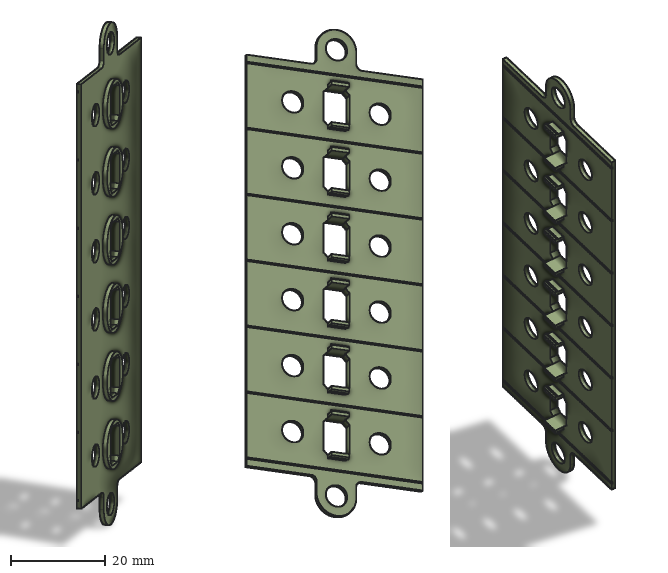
import cadquery as cq
total_height = 110.6
plate_width = 40.3
plate_thickness = 1.0
station_count = 6
body_height = 93.6
end_margin = 1.8
station_pitch = (body_height - 2 * end_margin) / station_count

feature_y = -0.4

tab_radius = 4.5
tab_hole_diameter = 4.9
tab_root_fillet = 1.3
tab_hole_z = total_height / 2 - tab_radius

groove_width = 0.3
groove_depth = 0.3

hole_spacing = 20.0
hole_diameter = 4.9
window_width = 6.0
window_height = 8.5
window_corner_chamfer = 1.0
boss_diameter = 10.6
boss_height = 1.0
opening_depth = plate_thickness + boss_height

clip_width = window_width - 2 * window_corner_chamfer
clip_length = 2.2
clip_thickness = 0.8
barb_height = 0.3
barb_length = 0.7

station_heights = [(i - (station_count - 1) / 2) * station_pitch for i in range(station_count)]
groove_heights = [(i - station_count / 2) * station_pitch for i in range(station_count + 1)]


def make_plate():
    """Rectangular plate with a round-ended, drilled tab at the top and bottom."""
    body = cq.Workplane("YZ").rect(plate_width, body_height).extrude(plate_thickness)
    tabs = (
        cq.Workplane("YZ")
        .center(feature_y, 0)
        .slot2D(total_height, 2 * tab_radius, 90)
        .extrude(plate_thickness)
    )
    plate = body.union(tabs)
    root_y = [feature_y - tab_radius, feature_y + tab_radius]
    for y in root_y:
        for z in (-body_height / 2, body_height / 2):
            corner = cq.selectors.NearestToPointSelector((plate_thickness / 2, y, z))
            plate = plate.edges("|X").edges(corner).fillet(tab_root_fillet)
    tab_holes = (
        cq.Workplane("YZ")
        .pushPoints([(feature_y, -tab_hole_z), (feature_y, tab_hole_z)])
        .circle(tab_hole_diameter / 2)
        .extrude(plate_thickness)
    )
    return plate.cut(tab_holes)


def make_groove(z):
    """Square-bottomed score line across the full plate width."""
    size = (groove_depth, plate_width, groove_width)
    return cq.Workplane("XY").box(*size).translate((groove_depth / 2, 0, z))


def make_boss(z):
    """Round boss on the back face."""
    return (
        cq.Workplane("YZ", origin=(plate_thickness, feature_y, z))
        .circle(boss_diameter / 2)
        .extrude(boss_height)
    )


def make_openings(z):
    """Window with chamfered corners through plate and boss, with a round hole on each side."""
    station = cq.Workplane("YZ", origin=(0, feature_y, z))
    window = station.rect(window_width, window_height).extrude(opening_depth)
    window = window.edges("|X").chamfer(window_corner_chamfer)
    holes = (
        station.pushPoints([(-hole_spacing / 2, 0), (hole_spacing / 2, 0)])
        .circle(hole_diameter / 2)
        .extrude(opening_depth)
    )
    return window.union(holes)


def make_clip(z, side):
    """Snap clip with a chamfered, square-backed barb; side is +1 above the window, -1 below it."""
    inner = z + side * window_height / 2
    outer = inner + side * clip_thickness
    barb = outer + side * barb_height
    profile = [
        (plate_thickness, inner),
        (-clip_length, inner),
        (-clip_length, outer),
        (-clip_length + barb_height, barb),
        (-clip_length + barb_length, barb),
        (-clip_length + barb_length, outer),
        (plate_thickness, outer),
    ]
    return (
        cq.Workplane("XZ", origin=(0, feature_y, 0))
        .polyline(profile)
        .close()
        .extrude(clip_width / 2, both=True)
    )


result = make_plate()
for groove_z in groove_heights:
    result = result.cut(make_groove(groove_z))
for station_z in station_heights:
    result = result.union(make_boss(station_z)).cut(make_openings(station_z))
    for clip_side in (-1, 1):
        result = result.union(make_clip(station_z, clip_side))